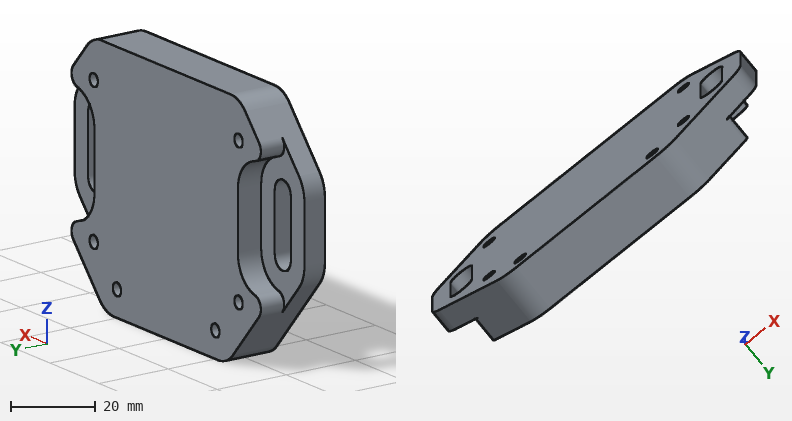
import cadquery as cq
import math

length = 93.7
height = 67.0
thickness = 12.7
flange_thickness = 6.0
middle_z = 2.9

chamfer_angle = math.radians(48.7)
side_radius = 8.8
end_radius = 8.0

slot_width = 6.6
slot_straight = 15.9
slot_x = length / 2 - side_radius

tip_radius = 3.0

hole_diameter = 3.4
corner_hole_x = 29.5
corner_hole_spacing_z = 40.0
lower_hole_x = 20.05
lower_hole_z = -26.4

front_y = -thickness / 2
arc_center_dz = slot_straight / 2


def front_sketch(y=front_y):
    """Workplane with local axes X and Z, extruding toward +Y for negative depths."""
    return cq.Workplane("XZ", origin=(0, y, 0))


def make_plate():
    """Octagonal plate with rounded corners."""
    side_turn = math.pi / 2 - chamfer_angle
    side_dz = arc_center_dz + side_radius * math.tan(side_turn / 2)
    top_side_z = middle_z + side_dz
    bottom_side_z = middle_z - side_dz
    half_length = length / 2
    half_height = height / 2
    top_x = half_length - (half_height - top_side_z) / math.tan(chamfer_angle)
    bottom_x = half_length - (half_height + bottom_side_z) / math.tan(chamfer_angle)
    right_points = [
        (bottom_x, -half_height),
        (half_length, bottom_side_z),
        (half_length, top_side_z),
        (top_x, half_height),
    ]
    left_points = [(-x, z) for x, z in reversed(right_points)]
    plate = front_sketch().polyline(right_points + left_points).close().extrude(-thickness)
    plate = plate.edges("|Y and (<X or >X)").fillet(side_radius)
    for end_face in ("<Z", ">Z"):
        plate = plate.faces(end_face).edges("|Y").fillet(end_radius)
    return plate


def make_left_relief():
    """Open recess around the left slot, ending in a rounded tip above and below."""
    slope_x = math.cos(chamfer_angle)
    slope_z = math.sin(chamfer_angle)
    along = 2 * math.sqrt(side_radius * tip_radius)
    across = side_radius - tip_radius
    tip_x = -slot_x + along * slope_x - across * slope_z
    tip_dz = arc_center_dz + along * slope_z + across * slope_x
    tip_end = (tip_x - tip_radius * slope_z, tip_dz + tip_radius * slope_x)
    tip_middle = (tip_x - tip_radius, tip_dz)

    share = side_radius / (side_radius + tip_radius)
    join_x = -slot_x + share * (tip_x + slot_x)
    join_dz = arc_center_dz + share * (tip_dz - arc_center_dz)
    wall_x = -slot_x + side_radius
    diagonal = side_radius * math.sqrt(0.5)
    bend = (-slot_x + diagonal, arc_center_dz + diagonal)

    def upper(point):
        return (point[0], middle_z + point[1])

    def lower(point):
        return (point[0], middle_z - point[1])

    join = (join_x, join_dz)
    wall_end = (wall_x, arc_center_dz)
    outside = (-length, tip_end[1])
    return (
        front_sketch(front_y + flange_thickness)
        .moveTo(*upper(outside))
        .lineTo(*upper(tip_end))
        .threePointArc(upper(tip_middle), upper(join))
        .threePointArc(upper(bend), upper(wall_end))
        .lineTo(*lower(wall_end))
        .threePointArc(lower(bend), lower(join))
        .threePointArc(lower(tip_middle), lower(tip_end))
        .lineTo(*lower(outside))
        .close()
        .extrude(-thickness)
    )


def make_slots():
    return (
        front_sketch()
        .pushPoints([(-slot_x, middle_z), (slot_x, middle_z)])
        .slot2D(slot_straight + slot_width, slot_width, 90)
        .extrude(-thickness)
    )


def make_holes():
    centers = []
    for side in (-1, 1):
        centers.append((side * lower_hole_x, lower_hole_z))
        for level in (-1, 1):
            centers.append((side * corner_hole_x, middle_z + level * corner_hole_spacing_z / 2))
    return front_sketch().pushPoints(centers).circle(hole_diameter / 2).extrude(-thickness)


left_relief = make_left_relief()
result = (
    make_plate()
    .cut(left_relief)
    .cut(left_relief.mirror("YZ"))
    .cut(make_slots())
    .cut(make_holes())
)